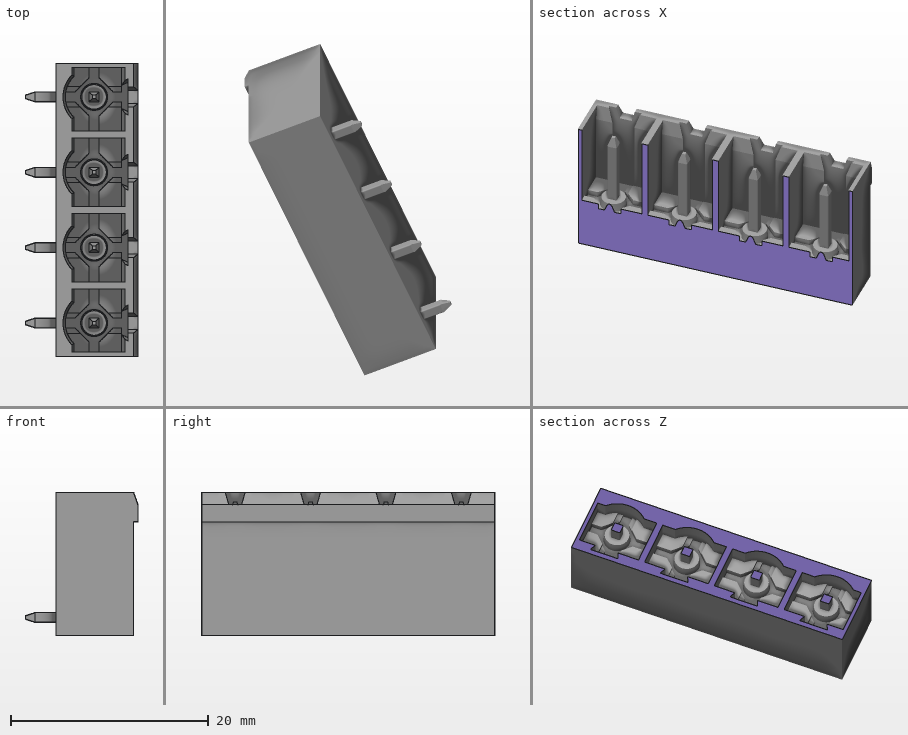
import cadquery as cq

row_length = 29.65
height = 14.5
housing_depth = 7.85
pole_count = 4
pitch = 7.62
pole_x = 3.85

lip_overhang = 0.45
lip_bevel_height = 1.25
lip_height = 3.0
lip_x = housing_depth + lip_overhang

divider = 0.7
end_wall = 0.45
pocket_left_x = 1.6
pocket_right_x = 6.65
pocket_depth = 8.9
floor_z = height - pocket_depth
round_radius = 3.15
left_lead_in_width = 0.25
floor_left_x = pocket_left_x + left_lead_in_width
floor_radius = round_radius - left_lead_in_width
right_lead_in_width = 0.35
lead_in_height = 1.5
lead_in_z = height - lead_in_height

band_depth = 0.3
band_half_width = 1.05
cross_depth = 0.6
cross_half_width = 0.5
diamond_reach = 2.43
cross_z = floor_z - cross_depth

key_back_x = 7.3
key_mouth_half = 1.2
key_back_half = 1.48
key_flare = 0.33
notch_depth = lip_bevel_height
notch_half_bottom = 0.65
notch_half_top = 1.0

collar_base_radius = 1.35
collar_top_radius = 1.25
collar_height = 0.9

pin_size = 1.0
pin_edge_radius = 0.12
pin_tip_size = 0.35
pin_taper = 0.98
pin_protrusion = 3.08
pin_z = 1.85
pin_top_recess = 1.0


def box_between(x_range, y_range, z_range):
    """Box given by its lower and upper limits on each axis."""
    (x0, x1), (y0, y1), (z0, z1) = x_range, y_range, z_range
    box = cq.Workplane("XY").box(x1 - x0, y1 - y0, z1 - z0, centered=False)
    return box.translate((x0, y0, z0))


def prism_along_y(points_xz, y_range):
    """Prism with an XZ outline, filling the given range of Y."""
    y0, y1 = y_range
    return cq.Workplane("XZ", origin=(0, y0, 0)).polyline(points_xz).close().extrude(y0 - y1)


def cone_at_pole(bottom_radius, top_radius, bottom_z, cone_height):
    """Upright cone frustum on the axis of a pole."""
    base = cq.Vector(pole_x, 0, bottom_z)
    return cq.Workplane(cq.Solid.makeCone(bottom_radius, top_radius, cone_height, base))


def cylinder_at_pole(radius, bottom_z, cylinder_height):
    """Upright cylinder on the axis of a pole."""
    return cq.Workplane("XY", origin=(pole_x, 0, bottom_z)).circle(radius).extrude(cylinder_height)


def make_housing():
    """Plain block with the bevelled lip."""
    outline = [
        (0, 0),
        (housing_depth, 0),
        (housing_depth, height - lip_height),
        (lip_x, height - lip_height),
        (lip_x, height - lip_bevel_height),
        (housing_depth, height),
        (0, height),
    ]
    return prism_along_y(outline, (-row_length / 2, row_length / 2))


def make_pocket(y_range):
    """Pocket down to its floor: -X wall with a round bulge, lead-ins on both walls."""
    outline = [
        (floor_left_x, floor_z),
        (pocket_right_x, floor_z),
        (pocket_right_x, lead_in_z),
        (pocket_right_x + right_lead_in_width, height),
        (pocket_left_x, height),
        (floor_left_x, lead_in_z),
    ]
    bulge_limits = box_between((0, pole_x), y_range, (floor_z, height))
    bulge_lead_in = cone_at_pole(floor_radius, round_radius, lead_in_z, lead_in_height)
    bulge = cylinder_at_pole(floor_radius, floor_z, pocket_depth).union(bulge_lead_in)
    return prism_along_y(outline, y_range).union(bulge.intersect(bulge_limits))


def make_floor_relief(y_range):
    """Shallow band along X and a deeper cross with a diamond at its centre."""
    depth_range = (cross_z, floor_z)
    x_range = (0, pocket_right_x)
    band = box_between(x_range, (-band_half_width, band_half_width), (floor_z - band_depth, floor_z))
    arm_along_x = box_between(x_range, (-cross_half_width, cross_half_width), depth_range)
    arm_along_y = box_between((pole_x - cross_half_width, pole_x + cross_half_width), y_range, depth_range)
    diamond = (
        cq.Workplane("XY", origin=(pole_x, 0, cross_z))
        .polyline([(diamond_reach, 0), (0, diamond_reach), (-diamond_reach, 0), (0, -diamond_reach)])
        .close()
        .extrude(cross_depth)
    )
    relief = band.union(arm_along_x).union(arm_along_y).union(diamond)

    round_end = cylinder_at_pole(floor_radius, cross_z, cross_depth)
    footprint = box_between((floor_left_x, pocket_right_x), y_range, depth_range).union(
        round_end.intersect(box_between((0, pole_x), y_range, depth_range)))
    return relief.intersect(footprint)


def dovetail_wire(z, extra_half_width):
    """Trapezoid from the pocket axis to the keyway back, widening at the keyway's own slant."""
    slant = (key_back_half - key_mouth_half) / (key_back_x - pocket_right_x)
    back_half = key_back_half + extra_half_width
    start_half = back_half - slant * (key_back_x - pole_x)
    return (
        cq.Workplane("XY", origin=(0, 0, z))
        .polyline([
            (pole_x, -start_half),
            (key_back_x, -back_half),
            (key_back_x, back_half),
            (pole_x, start_half),
        ])
        .close()
    )


def make_keyway():
    """Dovetail in the +X wall, down to the bottom of the cross and flared at its mouth."""
    straight = dovetail_wire(cross_z, 0).extrude(lead_in_z - cross_z)
    flare_wires = [dovetail_wire(lead_in_z, 0).val(), dovetail_wire(height, key_flare).val()]
    flared = cq.Workplane(cq.Solid.makeLoft(flare_wires, True))
    in_wall = box_between((pocket_right_x, key_back_x), (-pitch / 2, pitch / 2), (cross_z, height))
    return straight.union(flared).intersect(in_wall)


def make_notch():
    """Notch with sloping sides, cut from the keyway out through the lip."""
    bottom_z = height - notch_depth
    return (
        cq.Workplane("YZ", origin=(pocket_right_x, 0, 0))
        .polyline([
            (-notch_half_bottom, bottom_z),
            (notch_half_bottom, bottom_z),
            (notch_half_top, height),
            (-notch_half_top, height),
        ])
        .close()
        .extrude(lip_x - pocket_right_x)
    )


def make_pin_leg(length):
    """Upright square bar from Z = 0 with rounded long edges and a tapered tip."""
    shank_length = length - pin_taper
    bar = cq.Workplane("XY").rect(pin_size, pin_size).extrude(length).edges("|Z").fillet(pin_edge_radius)
    shank = cq.Workplane("XY").rect(pin_size, pin_size).extrude(shank_length)
    tip = (
        cq.Workplane("XY", origin=(0, 0, shank_length))
        .rect(pin_size, pin_size)
        .workplane(offset=pin_taper)
        .rect(pin_tip_size, pin_tip_size)
        .loft()
    )
    return bar.intersect(shank.union(tip))


def make_pin():
    """L-shaped contact: upright leg into the pocket, level leg out through the back."""
    corner_z = pin_z - pin_size / 2
    corner_x = pole_x + pin_size / 2
    upright = make_pin_leg(height - pin_top_recess - corner_z).translate((pole_x, 0, corner_z))
    level = make_pin_leg(corner_x + pin_protrusion).rotate((0, 0, 0), (0, 1, 0), -90)
    return upright.union(level.translate((corner_x, 0, pin_z)))


result = make_housing()
pin = make_pin()
keyway = make_keyway()
notch = make_notch()
collar = cone_at_pole(collar_base_radius, collar_top_radius, cross_z, collar_height)

for pole in range(pole_count):
    pole_y = (pole - (pole_count - 1) / 2) * pitch
    pocket_low = max(-(pitch - divider) / 2, -row_length / 2 + end_wall - pole_y)
    pocket_high = min((pitch - divider) / 2, row_length / 2 - end_wall - pole_y)
    pocket_span = (pocket_low, pocket_high)
    for cut in (make_pocket(pocket_span), make_floor_relief(pocket_span), keyway, notch):
        result = result.cut(cut.translate((0, pole_y, 0)))
    for insert in (collar, pin):
        result = result.union(insert.translate((0, pole_y, 0)))